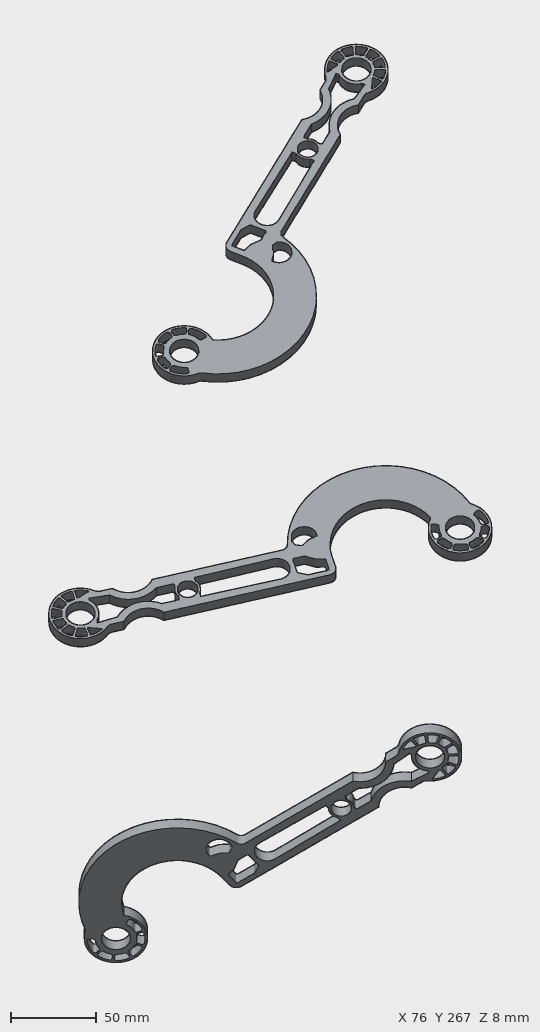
import cadquery as cq
import math

THICKNESS = 8.0

HOOK_MID_RADIUS = 45.0
BAND_WIDTH = 25.0
HOOK_INNER_RADIUS = HOOK_MID_RADIUS - BAND_WIDTH / 2
HOOK_OUTER_RADIUS = HOOK_MID_RADIUS + BAND_WIDTH / 2

HUB_SPACING = 230.0
LOWER_HUB_Y = -HOOK_MID_RADIUS
UPPER_HUB_Y = LOWER_HUB_Y + HUB_SPACING
HUB_RADIUS = 18.5
BORE_RADIUS = 8.5
RIM_THICKNESS = 1.5
RIM_INNER_RADIUS = HUB_RADIUS - RIM_THICKNESS

BAR_HALF_WIDTH = BAND_WIDTH / 2
HEEL_FILLET = 5.0
SHOULDER_FILLET = 4.0
COLLAR_FILLET = 5.0
NECK_FILLET = 3.0

WAIST_Y = UPPER_HUB_Y - 35.0
WAIST_NOTCH_RADIUS = 15.0
WAIST_NOTCH_X = 21.5
WAIST_WALL = 5.0
WAIST_WALL_RADIUS = WAIST_NOTCH_RADIUS + WAIST_WALL

SMALL_HOLE_Y = UPPER_HUB_Y - 65.0
SMALL_HOLE_RADIUS = 6.0
SMALL_HOLE_RING_RADIUS = 7.5

WINDOW_TOP_HALF_WIDTH = 9.3
WINDOW_TOP_Y = UPPER_HUB_Y - 7.8
WINDOW_SHOULDER_DY = 15.0
WINDOW_BOTTOM_HALF_WIDTH = 6.0
WINDOW_BOTTOM_Y = SMALL_HOLE_Y + 6.6
WINDOW_FILLET = 1.2

SLOT_TOP_HALF_WIDTH = 7.1
SLOT_END_RADIUS = 7.6
SLOT_TOP_Y = SMALL_HOLE_Y - 6.0
SLOT_BOTTOM_Y = 58.3

UPPER_RING_RADIUS = 10.8
UPPER_SPOKE_WIDTH = 1.5
UPPER_FIRST_SPOKE_ANGLE = 90.0
UPPER_SPOKE_PITCH = 30.6
UPPER_POCKETS_PER_SIDE = 3
END_POCKET_RING_RADIUS = 11.5
END_POCKET_TIP_ANGLE = 213.0
END_POCKET_INNER_ANGLE = 190.0
UPPER_POCKET_FILLET = 0.8
END_POCKET_FILLET = 0.3

LOWER_RING_RADIUS = 12.2
LOWER_SPOKE_WIDTH = 1.2
LOWER_SPOKE_PITCH = 38.4
LOWER_FIRST_SPOKE_ANGLE = 108.0
LOWER_SPOKES = 5
LOWER_START_ANGLE = 62.0
LOWER_END_ANGLE = 308.0
LOWER_POCKET_FILLET = 1.5

ROOT_POCKET_FLOOR_Y = 36.7
HEEL_POCKET_TOP_Y = 55.2
HEEL_POCKET_LEFT_X = -9.0
HEEL_POCKET_RIGHT_X = 4.7
HEEL_POCKET_CHAMFER_X = -5.8
HEEL_POCKET_CHAMFER_Y = 49.6
HEEL_POCKET_FILLET = 1.0
HEEL_WEB_UPPER_Y = 47.9
HEEL_WEB_KNEE = (0.7, 42.2)
HEEL_WEB_FOOT_X = -0.6
EAR_POCKET_X = 18.0
EAR_POCKET_Y = 44.3
EAR_POCKET_RADIUS = 7.6
EAR_POCKET_START_ANGLE = 122.0
EAR_POCKET_END_ANGLE = -70.0
EAR_POCKET_FILLET = 0.8
EAR_WEB_UPPER = (12.4, 47.1)
EAR_WEB_KNEE = (15.6, 42.4)
EAR_WEB_FOOT_X = 17.0


def polar(radius, angle):
    """Point at a radius and an angle in degrees."""
    a = math.radians(angle)
    return radius * math.cos(a), radius * math.sin(a)


def disc(x, y, radius):
    return cq.Workplane("XY").center(x, y).circle(radius).extrude(THICKNESS)


def rounded(outline, radius):
    """Extrude a closed outline and round its upright corners."""
    return outline.close().extrude(THICKNESS).edges("|Z").fillet(radius)


def upright_fillet(body, x, y, radius):
    """Round the upright edge at (x, y)."""
    edge = cq.selectors.NearestToPointSelector((x, y, THICKNESS / 2))
    return body.edges("|Z").edges(edge).fillet(radius)


def side_angle(radius, spoke_width):
    """Angle between the middle of a spoke and its side, at the given radius."""
    return math.degrees(math.asin(spoke_width / 2 / radius))


def ring_pocket(hub_y, ring_radius, inner_span, outer_span, fillet):
    """Pocket between the bore ring and the rim; each span is (first, last) angle in degrees."""
    outline = (
        cq.Workplane("XY")
        .center(0, hub_y)
        .moveTo(*polar(ring_radius, inner_span[0]))
        .threePointArc(polar(ring_radius, sum(inner_span) / 2), polar(ring_radius, inner_span[1]))
        .lineTo(*polar(RIM_INNER_RADIUS, outer_span[1]))
        .threePointArc(polar(RIM_INNER_RADIUS, sum(outer_span) / 2), polar(RIM_INNER_RADIUS, outer_span[0]))
    )
    return rounded(outline, fillet)


def spoked_pocket(hub_y, ring_radius, first, last, spoke_width, fillet):
    """Pocket between the spokes centred on two angles, with sides parallel to those spokes."""
    inner = side_angle(ring_radius, spoke_width)
    outer = side_angle(RIM_INNER_RADIUS, spoke_width)
    return ring_pocket(
        hub_y, ring_radius, (first + inner, last - inner), (first + outer, last - outer), fillet
    )


def make_hook():
    """Half ring to the right of the origin."""
    return (
        cq.Workplane("XY")
        .moveTo(0, HOOK_OUTER_RADIUS)
        .threePointArc((HOOK_OUTER_RADIUS, 0), (0, -HOOK_OUTER_RADIUS))
        .lineTo(0, -HOOK_INNER_RADIUS)
        .threePointArc((HOOK_INNER_RADIUS, 0), (0, HOOK_INNER_RADIUS))
        .close()
        .extrude(THICKNESS)
    )


def make_bar():
    """Straight bar from the heel to the upper hub, notched at the waist."""
    length = UPPER_HUB_Y - HOOK_INNER_RADIUS
    bar = (
        cq.Workplane("XY")
        .center(0, HOOK_INNER_RADIUS + length / 2)
        .rect(2 * BAR_HALF_WIDTH, length)
        .extrude(THICKNESS)
    )
    for side in (-1, 1):
        bar = bar.cut(disc(side * WAIST_NOTCH_X, WAIST_Y, WAIST_NOTCH_RADIUS))
    return bar


def make_body():
    """Hook, bar and hubs joined, with their outer corners rounded."""
    body = make_hook().union(make_bar())
    shoulder_y = math.sqrt(HOOK_OUTER_RADIUS**2 - BAR_HALF_WIDTH**2)
    body = upright_fillet(body, BAR_HALF_WIDTH, shoulder_y, SHOULDER_FILLET)
    body = upright_fillet(body, -BAR_HALF_WIDTH, HOOK_INNER_RADIUS, HEEL_FILLET)
    body = body.union(disc(0, LOWER_HUB_Y, HUB_RADIUS))
    body = body.union(disc(0, UPPER_HUB_Y, HUB_RADIUS))

    neck_y = (HUB_RADIUS**2 - HOOK_OUTER_RADIUS**2 - LOWER_HUB_Y**2) / (-2 * LOWER_HUB_Y)
    neck_x = math.sqrt(HOOK_OUTER_RADIUS**2 - neck_y**2)
    body = upright_fillet(body, neck_x, neck_y, NECK_FILLET)

    collar_y = UPPER_HUB_Y - math.sqrt(HUB_RADIUS**2 - BAR_HALF_WIDTH**2)
    for side in (-1, 1):
        body = upright_fillet(body, side * BAR_HALF_WIDTH, collar_y, COLLAR_FILLET)
    return body


def make_window():
    """Hourglass window that follows the waist walls and the rings above and below it."""
    shoulder_x = WAIST_NOTCH_X - math.sqrt(WAIST_WALL_RADIUS**2 - WINDOW_SHOULDER_DY**2)
    bottom_dx = WAIST_NOTCH_X - WINDOW_BOTTOM_HALF_WIDTH
    hip_y = WAIST_Y - math.sqrt(WAIST_WALL_RADIUS**2 - bottom_dx**2)
    waist_x = WAIST_NOTCH_X - WAIST_WALL_RADIUS
    shoulder_y = WAIST_Y + WINDOW_SHOULDER_DY
    window = (
        cq.Workplane("XY")
        .moveTo(-WINDOW_TOP_HALF_WIDTH, WINDOW_TOP_Y)
        .lineTo(-shoulder_x, shoulder_y)
        .threePointArc((-waist_x, WAIST_Y), (-WINDOW_BOTTOM_HALF_WIDTH, hip_y))
        .lineTo(-WINDOW_BOTTOM_HALF_WIDTH, WINDOW_BOTTOM_Y)
        .lineTo(WINDOW_BOTTOM_HALF_WIDTH, WINDOW_BOTTOM_Y)
        .lineTo(WINDOW_BOTTOM_HALF_WIDTH, hip_y)
        .threePointArc((waist_x, WAIST_Y), (shoulder_x, shoulder_y))
        .lineTo(WINDOW_TOP_HALF_WIDTH, WINDOW_TOP_Y)
        .close()
        .extrude(THICKNESS)
    )
    for side in (-1, 1):
        window = upright_fillet(window, side * WINDOW_BOTTOM_HALF_WIDTH, WINDOW_BOTTOM_Y, WINDOW_FILLET)
    window = window.cut(disc(0, UPPER_HUB_Y, UPPER_RING_RADIUS))
    return window.cut(disc(0, SMALL_HOLE_Y, SMALL_HOLE_RING_RADIUS))


def make_slot():
    """Long slot whose top follows the ring around the small hole."""
    end_y = SLOT_BOTTOM_Y + SLOT_END_RADIUS
    slot = (
        cq.Workplane("XY")
        .moveTo(-SLOT_TOP_HALF_WIDTH, SLOT_TOP_Y)
        .lineTo(-SLOT_END_RADIUS, end_y)
        .threePointArc((0, SLOT_BOTTOM_Y), (SLOT_END_RADIUS, end_y))
        .lineTo(SLOT_TOP_HALF_WIDTH, SLOT_TOP_Y)
        .close()
        .extrude(THICKNESS)
    )
    return slot.cut(disc(0, SMALL_HOLE_Y, SMALL_HOLE_RING_RADIUS))


def make_heel_pocket():
    """Pocket in the foot of the bar, left of the web."""
    outline = (
        cq.Workplane("XY")
        .moveTo(HEEL_POCKET_CHAMFER_X, HEEL_POCKET_TOP_Y)
        .lineTo(HEEL_POCKET_RIGHT_X, HEEL_POCKET_TOP_Y)
        .lineTo(HEEL_POCKET_RIGHT_X, HEEL_WEB_UPPER_Y)
        .lineTo(*HEEL_WEB_KNEE)
        .lineTo(HEEL_WEB_FOOT_X, ROOT_POCKET_FLOOR_Y)
        .lineTo(HEEL_POCKET_LEFT_X, ROOT_POCKET_FLOOR_Y)
        .lineTo(HEEL_POCKET_LEFT_X, HEEL_POCKET_CHAMFER_Y)
    )
    return rounded(outline, HEEL_POCKET_FILLET)


def make_ear_pocket():
    """Ear-shaped pocket in the hook, right of the web."""

    def on_ear(angle):
        dx, dy = polar(EAR_POCKET_RADIUS, angle)
        return EAR_POCKET_X + dx, EAR_POCKET_Y + dy

    middle_angle = (EAR_POCKET_START_ANGLE + EAR_POCKET_END_ANGLE) / 2
    outline = (
        cq.Workplane("XY")
        .moveTo(*EAR_WEB_UPPER)
        .lineTo(*on_ear(EAR_POCKET_START_ANGLE))
        .threePointArc(on_ear(middle_angle), on_ear(EAR_POCKET_END_ANGLE))
        .lineTo(EAR_WEB_FOOT_X, ROOT_POCKET_FLOOR_Y)
        .lineTo(*EAR_WEB_KNEE)
    )
    return rounded(outline, EAR_POCKET_FILLET)


def make_upper_hub_pockets():
    """Pockets on the left of the upper hub, ending in a pointed one beside the bar, and their mirror."""
    pockets = []
    for i in range(UPPER_POCKETS_PER_SIDE):
        first = UPPER_FIRST_SPOKE_ANGLE + i * UPPER_SPOKE_PITCH
        pockets.append(
            spoked_pocket(
                UPPER_HUB_Y,
                UPPER_RING_RADIUS,
                first,
                first + UPPER_SPOKE_PITCH,
                UPPER_SPOKE_WIDTH,
                UPPER_POCKET_FILLET,
            )
        )
    last_spoke = UPPER_FIRST_SPOKE_ANGLE + UPPER_POCKETS_PER_SIDE * UPPER_SPOKE_PITCH
    pockets.append(
        ring_pocket(
            UPPER_HUB_Y,
            END_POCKET_RING_RADIUS,
            (last_spoke + side_angle(END_POCKET_RING_RADIUS, UPPER_SPOKE_WIDTH), END_POCKET_INNER_ANGLE),
            (last_spoke + side_angle(RIM_INNER_RADIUS, UPPER_SPOKE_WIDTH), END_POCKET_TIP_ANGLE),
            END_POCKET_FILLET,
        )
    )
    return pockets + [pocket.mirror("YZ") for pocket in pockets]


def make_lower_hub_pockets():
    """Pockets around the free side of the lower hub, the two end ones being longer."""
    limits = [LOWER_FIRST_SPOKE_ANGLE + i * LOWER_SPOKE_PITCH for i in range(LOWER_SPOKES)]
    limits = [LOWER_START_ANGLE] + limits + [LOWER_END_ANGLE]
    pockets = []
    for first, last in zip(limits, limits[1:]):
        pockets.append(
            spoked_pocket(
                LOWER_HUB_Y,
                LOWER_RING_RADIUS,
                first,
                last,
                LOWER_SPOKE_WIDTH,
                LOWER_POCKET_FILLET,
            )
        )
    return pockets


openings = [
    disc(0, UPPER_HUB_Y, BORE_RADIUS),
    disc(0, LOWER_HUB_Y, BORE_RADIUS),
    disc(0, SMALL_HOLE_Y, SMALL_HOLE_RADIUS),
    make_window(),
    make_slot(),
    make_heel_pocket(),
    make_ear_pocket(),
]
openings += make_upper_hub_pockets()
openings += make_lower_hub_pockets()

result = make_body()
for opening in openings:
    result = result.cut(opening)